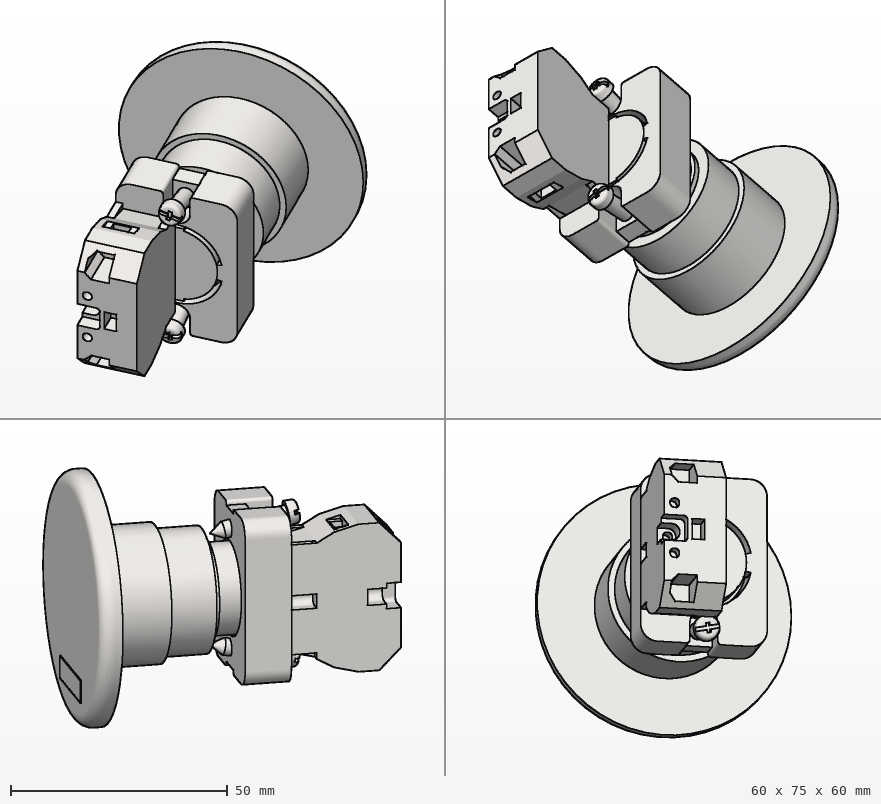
import cadquery as cq
import math


BLOCK_FRONT = 0
BRACKET_FRONT = 26.05
BRACKET_BACK = 37.1
STEM_END = 42.4
GASKET_END = 43.75
BEZEL_END = 54.85
CAP_FRONT = 69.8
CAP_BACK = 74.8

CAP_RADIUS = 30.0
CAP_ROUNDING = 3.2
SLEEVE_RADIUS = 16.5
LABEL_WIDTH = 20.1
LABEL_HEIGHT = 5.4
LABEL_CENTER_Z = -19.35
LABEL_THICKNESS = 0.2

BEZEL_RADIUS = 14.9
GASKET_RADIUS = 12.0
STEM_RADIUS = 10.9
SPIGOT_RADIUS = 10.05
SPIGOT_LENGTH = 4.5
KEY_WIDTH = 3.6
KEY_TOP = 10.5

BRACKET_WIDTH = 29.9
BRACKET_HEIGHT = 40.1
BRACKET_CORNER = 4.0
BORE_RADIUS = 11.3
TAB_HALF_ANGLE = 12
SLOT_WIDTH = 6.6
SLOT_MOUTH_ROUNDING = 0.8
SLOT_ROUND_Z = 15.1
SHELF_FRONT = 32.5
SHELF_TOP = 18.9

BLOCK_LEFT = -BRACKET_WIDTH / 2
BLOCK_RIGHT = -0.3
BLOCK_WIDTH = BLOCK_RIGHT - BLOCK_LEFT
FOOT_FRONT = 20.0
FOOT_HALF_HEIGHT = 14.0
WAIST_Y = 15.9
WAIST_HALF_HEIGHT = 16.35
CROWN_Y = 10.1
BLOCK_HALF_HEIGHT = 17.85
BLOCK_CHAMFER = 5.2

WEDGE_LEFT = -13.1
WEDGE_RIGHT = -2.25
WEDGE_DEPTH = 1.5

ENTRY_LEFT = -13.1
ENTRY_RIGHT = -7.1
ENTRY_BOTTOM = 11.0
ENTRY_TOP = 16.5
ENTRY_CHAMFER = 1.6
ENTRY_DEPTH = 9.0
TROUGH_RIGHT = -5.3
TROUGH_FRONT = 12.1
TROUGH_BACK = 15.45
TROUGH_FLOOR = 16.4
WINDOW_LEFT = -11.5
WINDOW_BACK = 15.1
WINDOW_FLOOR = 12.75

HOLE_X = -12.45
HOLE_SPACING = 6.0
HOLE_RADIUS = 1.1
HOLE_DEPTH = 3.0
RECESS_RIGHT = -9.4
RECESS_HEIGHT = 6.15
RECESS_DEPTH = 3.45
RECESS_CORNER = 1.05
KEYSLOT_RADIUS = 1.95
KEYSLOT_DEPTH = 7.95
SOCKET_LEFT = -8.3
SOCKET_RIGHT = -5.3
SOCKET_HEIGHT = 4.9
SOCKET_DEPTH = 4.5
NOTCH_RADIUS = 1.7
NOTCH_STRAIGHT_DEPTH = 2.4

SCREW_TILT = 11.0
SCREW_TIP_Y = 41.9
SCREW_TIP_Z = 13.4
SCREW_LENGTH = 18.6
SHANK_RADIUS = 2.0
POINT_LENGTH = 3.3
SCREW_HEAD_RADIUS = 3.0
SCREW_HEAD_FRONT_RADIUS = 2.85
SCREW_HEAD_HEIGHT = 2.7
SCREW_HEAD_ROUNDING = 1.0
DRIVE_WIDTH = 0.9
DRIVE_DEPTH = 1.2
CROSS_SPAN = 2.25
DRIVE_SPIN = 12


def box(x_from, x_to, y_from, y_to, z_from, z_to):
    """Block between two opposite corners."""
    return cq.Workplane("XY").box(
        x_to - x_from, y_to - y_from, z_to - z_from, centered=False
    ).translate((x_from, y_from, z_from))


def plane_at(y):
    """Workplane facing the front (-Y), with local x = X and local y = Z."""
    return cq.Workplane("XZ", origin=(0, y, 0))


def disc(radius, y_front, y_back):
    """Cylinder on the button axis."""
    return plane_at(y_back).circle(radius).extrude(y_back - y_front)


def mirrored_pair(shape):
    """The shape and its mirror image below the XY plane, as one cutting tool."""
    return shape.union(shape.mirror("XY"))


def make_head():
    cap = disc(CAP_RADIUS, CAP_FRONT, CAP_BACK).faces(">Y").edges().fillet(CAP_ROUNDING)
    label = (
        plane_at(CAP_BACK + LABEL_THICKNESS)
        .center(0, LABEL_CENTER_Z)
        .rect(LABEL_WIDTH, LABEL_HEIGHT)
        .extrude(LABEL_THICKNESS)
    )
    return cap.union(label).union(disc(SLEEVE_RADIUS, BEZEL_END, CAP_FRONT))


def make_operator():
    shoulder = BRACKET_FRONT + SPIGOT_LENGTH
    operator = disc(BEZEL_RADIUS, GASKET_END, BEZEL_END)
    operator = operator.union(disc(GASKET_RADIUS, STEM_END, GASKET_END))
    operator = operator.union(disc(STEM_RADIUS, shoulder, STEM_END))
    operator = operator.union(disc(SPIGOT_RADIUS, BRACKET_FRONT, shoulder))
    keys = box(-KEY_WIDTH / 2, KEY_WIDTH / 2, BRACKET_FRONT, shoulder, -KEY_TOP, KEY_TOP)
    return operator.union(keys)


def screw_slot():
    """Slot for the upper screw: a notch above the shelf and a round-ended pocket in front of it."""
    half_width = SLOT_WIDTH / 2
    top = BRACKET_HEIGHT / 2
    notch = box(-half_width, half_width, BRACKET_FRONT, BRACKET_BACK, SHELF_TOP, top)
    pocket = (
        plane_at(SHELF_FRONT)
        .moveTo(-half_width, top)
        .lineTo(-half_width, SLOT_ROUND_Z)
        .threePointArc((0, SLOT_ROUND_Z - half_width), (half_width, SLOT_ROUND_Z))
        .lineTo(half_width, top)
        .close()
        .extrude(SHELF_FRONT - BRACKET_FRONT)
    )
    return notch.union(pocket)


def bayonet_tabs():
    """Two wedge-shaped tabs that close the ring gap in front of the stem shoulder, left and right."""
    reach = 2 * BORE_RADIUS
    rise = reach * math.tan(math.radians(TAB_HALF_ANGLE))
    sectors = plane_at(BRACKET_FRONT + SPIGOT_LENGTH)
    for side in (-1, 1):
        sectors = sectors.polyline([(0, 0), (side * reach, rise), (side * reach, -rise)]).close()
    ring = (
        plane_at(BRACKET_FRONT + SPIGOT_LENGTH)
        .circle(BORE_RADIUS)
        .circle(SPIGOT_RADIUS)
        .extrude(SPIGOT_LENGTH)
    )
    return ring.intersect(sectors.extrude(SPIGOT_LENGTH))


def make_bracket(screws):
    bracket = (
        plane_at(BRACKET_BACK)
        .rect(BRACKET_WIDTH, BRACKET_HEIGHT)
        .extrude(BRACKET_BACK - BRACKET_FRONT)
        .edges("|Y")
        .fillet(BRACKET_CORNER)
        .cut(mirrored_pair(screw_slot()))
    )
    for z in (-BRACKET_HEIGHT / 2, BRACKET_HEIGHT / 2):
        mouth = cq.selectors.BoxSelector(
            (-SLOT_WIDTH, BRACKET_FRONT - 0.75, z - 0.1), (SLOT_WIDTH, BRACKET_BACK + 0.75, z + 0.1)
        )
        bracket = bracket.edges("|Y").edges(mouth).fillet(SLOT_MOUTH_ROUNDING)
    bracket = bracket.cut(disc(BORE_RADIUS, BRACKET_FRONT, BRACKET_BACK))
    for screw in screws:
        bracket = bracket.cut(screw)
    return bracket.union(bayonet_tabs())


def block_body():
    """Side outline of the contact block, symmetric about Z = 0, extruded across its width."""
    upper = [
        (BRACKET_FRONT, FOOT_HALF_HEIGHT),
        (FOOT_FRONT, FOOT_HALF_HEIGHT),
        (WAIST_Y, WAIST_HALF_HEIGHT),
        (CROWN_Y, BLOCK_HALF_HEIGHT),
        (BLOCK_FRONT + BLOCK_CHAMFER, BLOCK_HALF_HEIGHT),
        (BLOCK_FRONT, BLOCK_HALF_HEIGHT - BLOCK_CHAMFER),
    ]
    lower = [(y, -z) for y, z in reversed(upper)]
    return (
        cq.Workplane("YZ", origin=(BLOCK_LEFT, 0, 0))
        .polyline(upper + lower)
        .close()
        .extrude(BLOCK_WIDTH)
    )


def foot_wedge():
    """Sloping trough in the top of the foot, deepest at the bracket."""
    return (
        cq.Workplane("YZ", origin=(WEDGE_LEFT, 0, 0))
        .polyline([
            (FOOT_FRONT, FOOT_HALF_HEIGHT),
            (BRACKET_FRONT, FOOT_HALF_HEIGHT),
            (BRACKET_FRONT, FOOT_HALF_HEIGHT - WEDGE_DEPTH),
        ])
        .close()
        .extrude(WEDGE_RIGHT - WEDGE_LEFT)
    )


def wire_entry():
    """Pocket that opens through the upper front chamfer, with its two left corners cut off."""
    return (
        plane_at(BLOCK_FRONT + ENTRY_DEPTH)
        .polyline([
            (ENTRY_RIGHT, ENTRY_BOTTOM),
            (ENTRY_RIGHT, ENTRY_TOP),
            (ENTRY_LEFT + ENTRY_CHAMFER, ENTRY_TOP),
            (ENTRY_LEFT, ENTRY_TOP - ENTRY_CHAMFER),
            (ENTRY_LEFT, ENTRY_BOTTOM + ENTRY_CHAMFER),
            (ENTRY_LEFT + ENTRY_CHAMFER, ENTRY_BOTTOM),
        ])
        .close()
        .extrude(ENTRY_DEPTH)
    )


def top_window():
    """Flat-bottomed trough across the upper slope, and a deeper window in its floor."""
    trough = box(
        ENTRY_LEFT, TROUGH_RIGHT, TROUGH_FRONT, TROUGH_BACK, TROUGH_FLOOR, BLOCK_HALF_HEIGHT
    )
    window = box(WINDOW_LEFT, ENTRY_RIGHT, TROUGH_FRONT, WINDOW_BACK, WINDOW_FLOOR, TROUGH_FLOOR)
    return trough.union(window)


def front_recess():
    """Stepped recess at the left of the front face: a rounded pocket and a deeper round-ended slot."""
    pocket = (
        box(
            BLOCK_LEFT, RECESS_RIGHT, BLOCK_FRONT, BLOCK_FRONT + RECESS_DEPTH,
            -RECESS_HEIGHT / 2, RECESS_HEIGHT / 2,
        )
        .edges("|Y and >X")
        .fillet(RECESS_CORNER)
    )
    slot_back = BLOCK_FRONT + KEYSLOT_DEPTH
    slot = box(BLOCK_LEFT, HOLE_X, BLOCK_FRONT, slot_back, -KEYSLOT_RADIUS, KEYSLOT_RADIUS)
    slot_end = disc(KEYSLOT_RADIUS, BLOCK_FRONT, slot_back).translate((HOLE_X, 0, 0))
    return pocket.union(slot).union(slot_end)


def front_holes():
    """Three round holes in a column; the middle one starts at the bottom of the front recess."""
    holes = cq.Workplane("XY")
    for row, start in ((-1, BLOCK_FRONT), (0, BLOCK_FRONT + KEYSLOT_DEPTH), (1, BLOCK_FRONT)):
        hole = disc(HOLE_RADIUS, start, start + HOLE_DEPTH)
        holes = holes.add(hole.translate((HOLE_X, 0, row * HOLE_SPACING)))
    return holes.combine()


def side_notches():
    """Round-bottomed groove along the left side of the foot, and the open lower left corner."""
    groove_center = BLOCK_LEFT + NOTCH_STRAIGHT_DEPTH
    groove = disc(NOTCH_RADIUS, FOOT_FRONT, BRACKET_FRONT).translate((groove_center, 0, 0))
    groove_mouth = box(
        BLOCK_LEFT, groove_center, FOOT_FRONT, BRACKET_FRONT, -NOTCH_RADIUS, NOTCH_RADIUS
    )
    corner = box(
        BLOCK_LEFT, WEDGE_LEFT, FOOT_FRONT, BRACKET_FRONT,
        -FOOT_HALF_HEIGHT, WEDGE_DEPTH - FOOT_HALF_HEIGHT,
    )
    return groove.union(groove_mouth).union(corner)


def make_block():
    socket = box(
        SOCKET_LEFT, SOCKET_RIGHT, BLOCK_FRONT, BLOCK_FRONT + SOCKET_DEPTH,
        -SOCKET_HEIGHT / 2, SOCKET_HEIGHT / 2,
    )
    return (
        block_body()
        .cut(mirrored_pair(foot_wedge()))
        .cut(mirrored_pair(wire_entry()))
        .cut(mirrored_pair(top_window()))
        .cut(front_recess())
        .cut(front_holes())
        .cut(socket)
        .cut(side_notches())
    )


def screw_blank():
    """Turned screw along +Z from its tip at the origin, without its drive."""
    head_top = SCREW_LENGTH + SCREW_HEAD_HEIGHT
    round_start = head_top - SCREW_HEAD_ROUNDING
    flat_radius = SCREW_HEAD_FRONT_RADIUS - SCREW_HEAD_ROUNDING
    diagonal = SCREW_HEAD_ROUNDING * math.sqrt(0.5)
    return (
        cq.Workplane("XZ")
        .moveTo(0, 0)
        .lineTo(SHANK_RADIUS, POINT_LENGTH)
        .lineTo(SHANK_RADIUS, SCREW_LENGTH)
        .lineTo(SCREW_HEAD_RADIUS, SCREW_LENGTH)
        .lineTo(SCREW_HEAD_FRONT_RADIUS, round_start)
        .threePointArc((flat_radius + diagonal, round_start + diagonal), (flat_radius, head_top))
        .lineTo(0, head_top)
        .close()
        .revolve(360, (0, 0, 0), (0, 1, 0))
    )


def make_screw(side):
    """Screw above (side = 1) or mirrored below (side = -1) the axis, its head leaning outwards."""
    head_top = SCREW_LENGTH + SCREW_HEAD_HEIGHT
    drive = cq.Workplane("XY", origin=(0, 0, head_top - DRIVE_DEPTH))
    slot = drive.rect(2 * SCREW_HEAD_RADIUS, DRIVE_WIDTH).extrude(DRIVE_DEPTH)
    cross = drive.rect(DRIVE_WIDTH, CROSS_SPAN).extrude(DRIVE_DEPTH)
    screw = screw_blank().cut(slot).cut(cross)
    screw = screw.rotate((0, 0, 0), (0, 0, 1), -DRIVE_SPIN)
    screw = screw.rotate((0, 0, 0), (1, 0, 0), 90 - SCREW_TILT)
    screw = screw.translate((0, SCREW_TIP_Y, SCREW_TIP_Z))
    return screw if side > 0 else screw.mirror("XY")


head = make_head()
operator = make_operator()
screws = [make_screw(side) for side in (1, -1)]
bracket = make_bracket(screws)
block = make_block()

result = cq.Compound.makeCompound([
    head.val(),
    operator.val(),
    bracket.val(),
    block.val(),
    *[screw.val() for screw in screws],
])